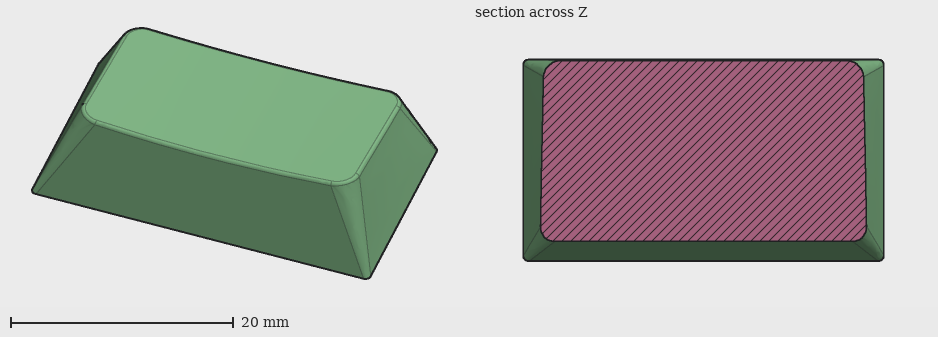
import cadquery as cq
import math

base_width = 32.39
base_depth = 18.1
base_corner_radius = 0.5

top_width = 26.32
top_depth = 14.5
top_corner_radius = 2.1
top_tilt = 6.0
top_centre_y = 1.72
top_centre_z = 6.74

dish_sag = 0.48
dish_overrun = 10.0
rim_fillet_radius = 0.4

top_plane = cq.Plane(
    origin=(0, top_centre_y, top_centre_z),
    xDir=(1, 0, 0),
    normal=(0, math.sin(math.radians(top_tilt)), math.cos(math.radians(top_tilt))),
)


def rounded_rectangle(plane, width, depth, radius):
    """Closed wire of four straight sides joined by four corner arcs."""
    x = width / 2
    y = depth / 2
    inset = radius * (1 - math.sqrt(0.5))
    outline = (
        cq.Workplane(plane)
        .moveTo(-x + radius, -y)
        .lineTo(x - radius, -y)
        .threePointArc((x - inset, -y + inset), (x, -y + radius))
        .lineTo(x, y - radius)
        .threePointArc((x - inset, y - inset), (x - radius, y))
        .lineTo(-x + radius, y)
        .threePointArc((-x + inset, y - inset), (-x, y - radius))
        .lineTo(-x, -y + radius)
        .threePointArc((-x + inset, -y + inset), (-x + radius, -y))
        .close()
    )
    return outline.val()


def make_body():
    """Tapered body between the level base and the tilted top."""
    base = rounded_rectangle(cq.Plane.XY(), base_width, base_depth, base_corner_radius)
    top = rounded_rectangle(top_plane, top_width, top_depth, top_corner_radius)
    return cq.Workplane(obj=cq.Solid.makeLoft([base, top], True))


def make_dish_cutter():
    """Cylinder whose arc meets the top plane at the left and right rims."""
    half_width = top_width / 2
    radius = (half_width**2 + dish_sag**2) / (2 * dish_sag)
    length = top_depth + 2 * dish_overrun
    start = top_plane.toWorldCoords((0, -length / 2, radius - dish_sag))
    return cq.Workplane(obj=cq.Solid.makeCylinder(radius, length, start, top_plane.yDir))


dished = make_body().cut(make_dish_cutter())
dished_face = dished.faces(cq.selectors.DirectionMinMaxSelector(top_plane.zDir, True))
result = dished_face.edges().fillet(rim_fillet_radius).solids()